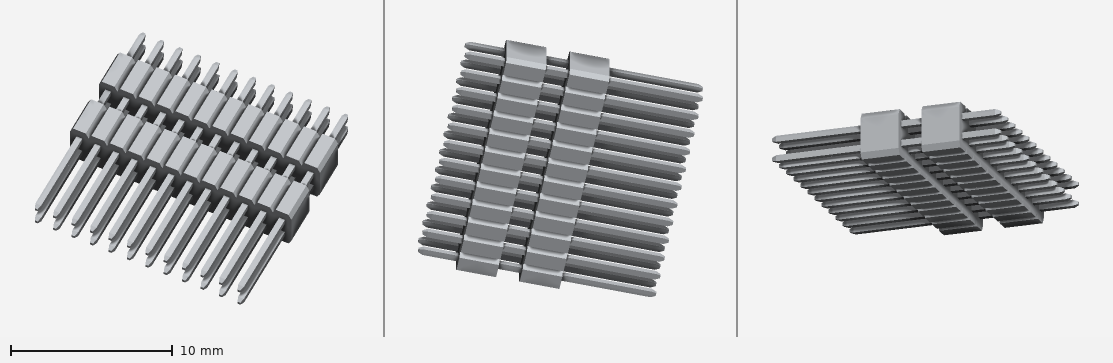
import cadquery as cq

columns = 12
rows = 2
length = 15.24
pitch = length / columns
height = 3.0
pin_length = 15.0

body_depth = 2.5
body_gap = 1.5
rear_pin_reach = 2.5

notch_depth = 0.4
notch_half_width = 0.2

pin_width = 0.4
tip_width = 0.2
tip_length = 0.3

pin_front = -pin_length / 2
pin_rear = pin_length / 2
rear_body_front = pin_rear - rear_pin_reach - body_depth
front_body_front = rear_body_front - body_gap - body_depth


def body_edge():
    """Upper edge of a body from left to right: one flat with sloped ends per column."""
    top = height / 2
    notch_bottom = top - notch_depth
    points = [(-length / 2, notch_bottom)]
    for column in range(columns):
        left = -length / 2 + column * pitch
        right = left + pitch
        points.append((left + notch_half_width, top))
        points.append((right - notch_half_width, top))
        points.append((right, notch_bottom))
    return points


def make_body(front):
    """Insulator body extruded toward +Y from its front face."""
    upper = body_edge()
    lower = [(x, -z) for x, z in reversed(upper)]
    outline = cq.Workplane("XZ", origin=(0, front, 0)).polyline(upper + lower).close()
    return outline.extrude(-body_depth)


def make_tip(x, z, base, direction):
    """Tapered pin end starting at base and narrowing along Y in the given direction."""
    plane = cq.Plane(origin=(x, base, z), xDir=(1, 0, 0), normal=(0, direction, 0))
    return (
        cq.Workplane(plane)
        .rect(pin_width, pin_width)
        .workplane(offset=tip_length)
        .rect(tip_width, tip_width)
        .loft(ruled=True)
    )


def make_pin(x, z):
    """Square pin running along Y with a tapered tip at each end."""
    shank_length = pin_length - 2 * tip_length
    shank = cq.Workplane("XY").box(pin_width, shank_length, pin_width).translate((x, 0, z))
    front_tip = make_tip(x, z, pin_front + tip_length, -1)
    rear_tip = make_tip(x, z, pin_rear - tip_length, 1)
    return shank.union(front_tip).union(rear_tip)


result = make_body(front_body_front).union(make_body(rear_body_front))
for column in range(columns):
    for row in range(rows):
        pin_x = (column - (columns - 1) / 2) * pitch
        pin_z = (row - (rows - 1) / 2) * pitch
        result = result.union(make_pin(pin_x, pin_z))